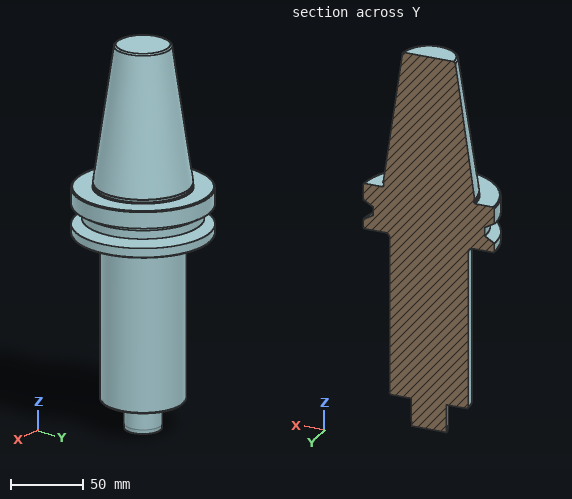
import cadquery as cq
import math

total_height = 282.8

pin_radius = 27.0 / 2
pin_length = 21.0
pin_tip_height = 3.5
pin_tip_inset = 0.3

body_radius = 60.0 / 2
body_edge_chamfer = 1.0
body_root_fillet = 3.0

flange_radius = 99.8 / 2
flange_bottom = 143.0
flange_top = 178.0
flange_edge_chamfer = 0.8
groove_radius = 85.0 / 2
groove_floor_bottom = 154.7
groove_floor_top = 161.0
groove_wall_angle = math.radians(30)
groove_wall_height = (flange_radius - groove_radius) * math.tan(groove_wall_angle)

neck_radius = 68.7 / 2
neck_root_flare = 0.8
neck_top_flare = 0.5

gauge_height = 181.0
gauge_radius = 69.9 / 2
taper_ratio = 7 / 24
taper_top_radius = gauge_radius - (total_height - gauge_height) * taper_ratio / 2
top_edge_chamfer = 1.0

fillet_diagonal = body_root_fillet * (1 - math.sqrt(0.5))
profile = (
    cq.Workplane("XZ")
    .moveTo(0, 0)
    .lineTo(pin_radius - pin_tip_inset, 0)
    .lineTo(pin_radius, pin_tip_height)
    .lineTo(pin_radius, pin_length)
    .lineTo(body_radius - body_edge_chamfer, pin_length)
    .lineTo(body_radius, pin_length + body_edge_chamfer)
    .lineTo(body_radius, flange_bottom - body_root_fillet)
    .threePointArc(
        (body_radius + fillet_diagonal, flange_bottom - fillet_diagonal),
        (body_radius + body_root_fillet, flange_bottom),
    )
    .lineTo(flange_radius - flange_edge_chamfer, flange_bottom)
    .lineTo(flange_radius, flange_bottom + flange_edge_chamfer)
    .lineTo(flange_radius, groove_floor_bottom - groove_wall_height)
    .lineTo(groove_radius, groove_floor_bottom)
    .lineTo(groove_radius, groove_floor_top)
    .lineTo(flange_radius, groove_floor_top + groove_wall_height)
    .lineTo(flange_radius, flange_top - flange_edge_chamfer)
    .lineTo(flange_radius - flange_edge_chamfer, flange_top)
    .lineTo(neck_radius + neck_root_flare, flange_top)
    .lineTo(neck_radius, flange_top + neck_root_flare)
    .lineTo(neck_radius, gauge_height - neck_top_flare)
    .lineTo(gauge_radius, gauge_height)
    .lineTo(taper_top_radius + top_edge_chamfer * taper_ratio / 2, total_height - top_edge_chamfer)
    .lineTo(taper_top_radius - top_edge_chamfer, total_height)
    .lineTo(0, total_height)
    .close()
)

result = profile.revolve(360, (0, 0, 0), (0, 1, 0))